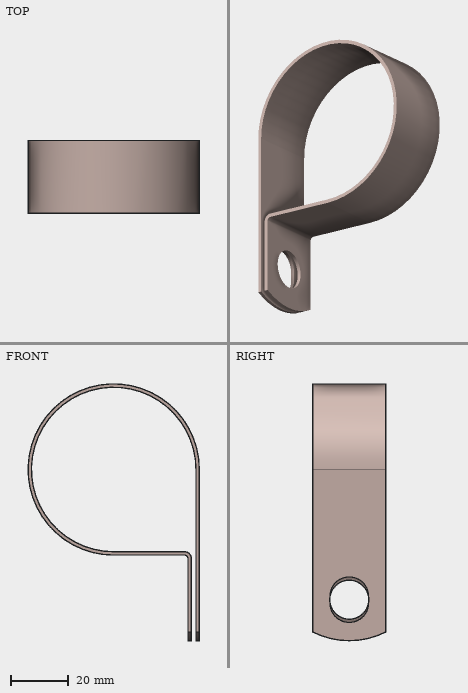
import cadquery as cq

loop_diameter = 59.6
total_height = 89.3
strap_width = 25.4
thickness = 1.25
leg_gap = 1.5
bend_outer_radius = 2.4
hole_diameter = 13.5
slot_length = 15.8
hole_height = 14.3
tip_rise = 3.0

outer_radius = loop_diameter / 2
inner_radius = outer_radius - thickness
tip_z = outer_radius - total_height
bend_inner_radius = bend_outer_radius - thickness
inner_leg_outer_x = inner_radius - leg_gap
inner_leg_inner_x = inner_leg_outer_x - thickness
bend_x = inner_leg_outer_x - bend_outer_radius
bend_z = -inner_radius - bend_outer_radius
hole_z = tip_z + hole_height
corner_z = tip_z + tip_rise
half_width = strap_width / 2


def bent_strip():
    """Strip of constant thickness: outer leg, loop, flat floor, bend and inner leg."""
    diagonal = 0.5 ** 0.5
    return (
        cq.Workplane("XZ")
        .moveTo(outer_radius, tip_z)
        .lineTo(outer_radius, 0)
        .threePointArc((-outer_radius * diagonal, outer_radius * diagonal), (0, -outer_radius))
        .lineTo(bend_x, -outer_radius)
        .threePointArc(
            (bend_x + bend_inner_radius * diagonal, bend_z + bend_inner_radius * diagonal),
            (inner_leg_inner_x, bend_z),
        )
        .lineTo(inner_leg_inner_x, tip_z)
        .lineTo(inner_leg_outer_x, tip_z)
        .lineTo(inner_leg_outer_x, bend_z)
        .threePointArc(
            (bend_x + bend_outer_radius * diagonal, bend_z + bend_outer_radius * diagonal),
            (bend_x, -inner_radius),
        )
        .lineTo(0, -inner_radius)
        .threePointArc((-inner_radius * diagonal, inner_radius * diagonal), (inner_radius, 0))
        .lineTo(inner_radius, tip_z)
        .close()
        .extrude(half_width, both=True)
    )


def rounded_tip_envelope():
    """Block around the whole part whose lower end is a shallow arc across the width."""
    return (
        cq.Workplane("YZ")
        .moveTo(-half_width, corner_z)
        .threePointArc((0, tip_z), (half_width, corner_z))
        .lineTo(half_width, outer_radius)
        .lineTo(-half_width, outer_radius)
        .close()
        .extrude(outer_radius, both=True)
    )


def inner_leg_hole():
    """Round bolt hole along X through the inner leg only."""
    return (
        cq.Workplane("YZ")
        .workplane(offset=inner_leg_inner_x)
        .center(0, hole_z)
        .circle(hole_diameter / 2)
        .extrude(thickness)
    )


def outer_leg_slot():
    """Upright adjustment slot along X through the outer leg only."""
    return (
        cq.Workplane("YZ")
        .workplane(offset=inner_radius)
        .center(0, hole_z)
        .slot2D(slot_length, hole_diameter, 90)
        .extrude(thickness)
    )


result = (
    bent_strip()
    .intersect(rounded_tip_envelope())
    .cut(inner_leg_hole())
    .cut(outer_leg_slot())
)